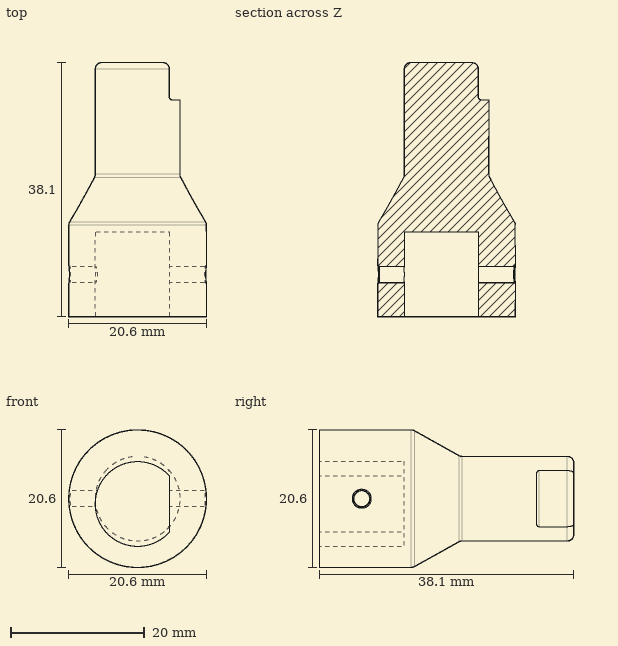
import cadquery as cq

INCH = 25.4

total_length = 1.5 * INCH
socket_diameter = 13 / 16 * INCH
shank_diameter = INCH / 2
mouth_y = -total_length / 2
tip_y = mouth_y + total_length

cone_start_y = mouth_y + 14.0
cone_end_y = mouth_y + 21.1
cone_blend_radius = 1.0
cone_search_margin = 1.0
tip_fillet_radius = 1.0

flat_distance = 3 / 16 * INCH
flat_length = 5.6
flat_root_fillet = 0.4
bore_diameter = shank_diameter
bore_depth = INCH / 2
bore_offset_z = -INCH / 32

pin_hole_diameter = 2.4
pin_hole_y = mouth_y + INCH / 4
pin_mouth_chamfer = 0.22


def make_body():
    """Socket, cone and shank turned about the Y axis, with blended cone edges."""
    socket_radius = socket_diameter / 2
    shank_radius = shank_diameter / 2
    profile = (
        cq.Workplane("YZ")
        .moveTo(mouth_y, 0)
        .lineTo(mouth_y, socket_radius)
        .lineTo(cone_start_y, socket_radius)
        .lineTo(cone_end_y, shank_radius)
        .lineTo(tip_y, shank_radius)
        .lineTo(tip_y, 0)
        .close()
    )
    body = profile.revolve(360, (0, 0, 0), (1, 0, 0))
    cone_zone = cq.selectors.BoxSelector(
        (-socket_diameter, cone_start_y - cone_search_margin, -socket_diameter),
        (socket_diameter, cone_end_y + cone_search_margin, socket_diameter),
        boundingbox=False,
    )
    cone_edges = body.edges("%CIRCLE").edges(cone_zone)
    return cone_edges.fillet(cone_blend_radius)


def make_flat_cutter():
    """Block that cuts the drive flat, rounded where the flat meets its shoulder."""
    block = cq.Workplane("XY").box(
        shank_diameter, flat_length, shank_diameter, centered=(False, False, True)
    )
    block = block.translate((flat_distance, tip_y - flat_length, 0))
    return block.edges("<X and <Y").fillet(flat_root_fillet)


def make_bore():
    """Blind D-shaped bore, set below the socket axis."""
    bore = (
        cq.Workplane("XZ", origin=(0, mouth_y, bore_offset_z))
        .circle(bore_diameter / 2)
        .extrude(-bore_depth)
    )
    beyond_flat = cq.Workplane("XY").box(
        bore_diameter, bore_depth, bore_diameter, centered=(False, False, True)
    )
    return bore.cut(beyond_flat.translate((flat_distance, mouth_y, bore_offset_z)))


def make_pin_hole():
    """Straight cross hole along X through both socket walls."""
    return (
        cq.Workplane("YZ", origin=(-socket_diameter / 2, pin_hole_y, 0))
        .circle(pin_hole_diameter / 2)
        .extrude(socket_diameter)
    )


def chamfer_pin_hole_mouths(body):
    """Break the hole's two mouths on the outer surface of the socket."""
    reach = pin_hole_diameter / 4
    wall_spans = (
        (-socket_diameter, -bore_diameter / 2),
        (bore_diameter / 2, socket_diameter),
    )
    for low_x, high_x in wall_spans:
        mouth_zone = cq.selectors.BoxSelector(
            (low_x, pin_hole_y - reach, -reach),
            (high_x, pin_hole_y + reach, reach),
            boundingbox=False,
        )
        body = body.edges(mouth_zone).chamfer(pin_mouth_chamfer)
    return body


driver = make_body().cut(make_flat_cutter())
driver = driver.faces(">Y").edges().fillet(tip_fillet_radius)
driver = driver.cut(make_bore()).cut(make_pin_hole())
result = chamfer_pin_hole_mouths(driver)